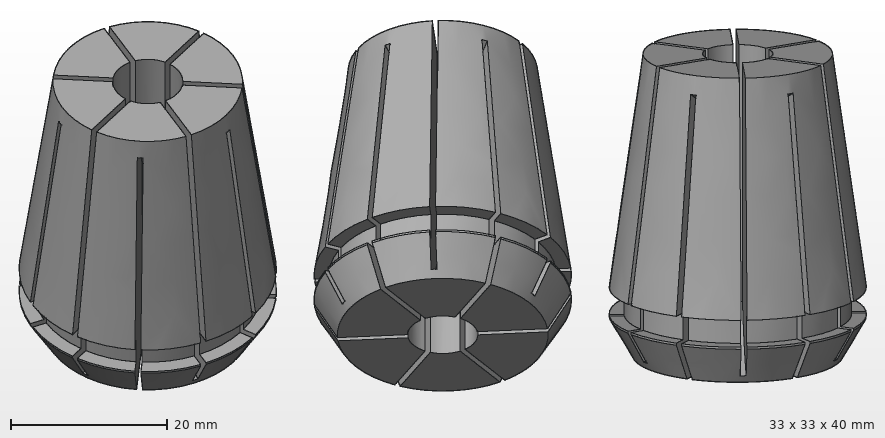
import cadquery as cq
import math

total_height = 40.0
body_diameter = 33.0
base_diameter = 27.0
groove_diameter = 29.2
bore_diameter = 9.0
rim_bottom = 5.2
groove_bottom = 5.5
groove_top = 9.05
taper_angle = 8.0

slots_per_end = 6
slot_width = 0.75
blade_radius = 20.0
upper_blade_axis_radius = 20.8
upper_blade_axis_height = 19.9
lower_blade_axis_radius = 21.6
lower_blade_axis_height = 19.7

body_radius = body_diameter / 2
taper_height = total_height - groove_top
top_radius = body_radius - taper_height * math.tan(math.radians(taper_angle))
slot_pitch = 360 / slots_per_end


def collet_body():
    """Revolved body: base cone, rim, groove and long taper around a through bore."""
    bore_radius = bore_diameter / 2
    groove_radius = groove_diameter / 2
    half_section = (
        cq.Workplane("XZ")
        .moveTo(bore_radius, 0)
        .lineTo(base_diameter / 2, 0)
        .lineTo(body_radius, rim_bottom)
        .lineTo(body_radius, groove_bottom)
        .lineTo(groove_radius, groove_bottom)
        .lineTo(groove_radius, groove_top)
        .lineTo(body_radius, groove_top)
        .lineTo(top_radius, total_height)
        .lineTo(bore_radius, total_height)
        .close()
    )
    return half_section.revolve(360, (0, 0, 0), (0, 1, 0))


def slot_cutter(axis_radius, axis_height, open_end):
    """Path of the blade along +X, from its deepest position out through the open end."""
    inner = axis_radius - blade_radius
    outer = axis_radius + blade_radius
    depth_direction = math.copysign(1, axis_height - open_end)
    deepest = axis_height + depth_direction * blade_radius
    return (
        cq.Workplane("XZ")
        .moveTo(inner, open_end)
        .lineTo(inner, axis_height)
        .threePointArc((axis_radius, deepest), (outer, axis_height))
        .lineTo(outer, open_end)
        .close()
        .extrude(slot_width / 2, both=True)
    )


def cut_slots(body, cutter, first_angle):
    """Cut one evenly spaced ring of slots, starting at first_angle from +X."""
    for index in range(slots_per_end):
        angle = first_angle + index * slot_pitch
        body = body.cut(cutter.rotate((0, 0, 0), (0, 0, 1), angle))
    return body


upper_cutter = slot_cutter(upper_blade_axis_radius, upper_blade_axis_height, total_height)
lower_cutter = slot_cutter(lower_blade_axis_radius, lower_blade_axis_height, 0)

result = collet_body()
result = cut_slots(result, upper_cutter, 0)
result = cut_slots(result, lower_cutter, slot_pitch / 2)